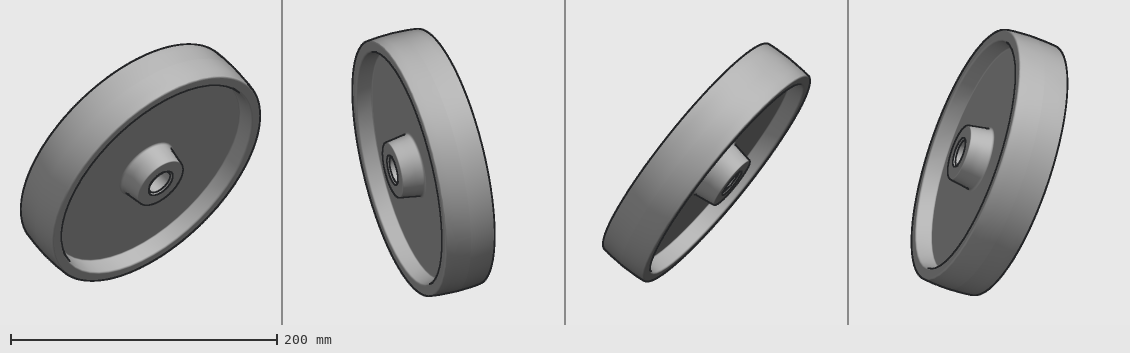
import cadquery as cq
import math

wheel_diameter = 200.0
rim_width = 40.0
hub_length = 50.0
web_thickness = 15.0

crown_drop = 1.35
tread_edge_radius = 1.5
rim_inner_diameter = 179.8
rim_draft_angle = 7.0
rim_mouth_radius = 1.5
rim_web_fillet = 1.0

hub_end_diameter = 42.8
hub_draft_angle = 9.0
hub_edge_radius = 0.8
hub_web_fillet = 1.8

bore_diameter = 20.0
bore_chamfer = 1.5

pick_margin = 0.01

wheel_radius = wheel_diameter / 2
half_rim = rim_width / 2
half_hub = hub_length / 2
half_web = web_thickness / 2
tread_edge = wheel_radius - crown_drop
crown_radius = (half_rim**2 + crown_drop**2) / (2 * crown_drop)
crown_mid_x = half_rim / 2
crown_mid_drop = crown_radius - math.sqrt(crown_radius**2 - crown_mid_x**2)
crown_mid_point = (crown_mid_x, wheel_radius - crown_mid_drop)
rim_slope = math.tan(math.radians(rim_draft_angle))
hub_slope = math.tan(math.radians(hub_draft_angle))
rim_mouth = rim_inner_diameter / 2
rim_foot = rim_mouth - (half_rim - half_web) * rim_slope
hub_end = hub_end_diameter / 2
hub_foot = hub_end + (half_hub - half_web) * hub_slope


def make_wheel_half():
    """Right half of the wheel body, from the middle plane to the hub end."""
    profile = (
        cq.Workplane("XY")
        .moveTo(0, 0)
        .lineTo(0, wheel_radius)
        .threePointArc(crown_mid_point, (half_rim, tread_edge))
        .lineTo(half_rim, rim_mouth)
        .lineTo(half_web, rim_foot)
        .lineTo(half_web, hub_foot)
        .lineTo(half_hub, hub_end)
        .lineTo(half_hub, 0)
        .close()
    )
    return profile.revolve(360, (0, 0, 0), (1, 0, 0))


def select_circle(solid, x, radius):
    """Pick the circular edge of the given radius lying in the plane at x."""
    return solid.edges("%CIRCLE").filter(
        lambda edge: abs(edge.Center().x - x) < pick_margin
        and abs(edge.radius() - radius) < pick_margin
    )


def round_half(half):
    """Round every circular corner of the half wheel."""
    corners = (
        (half_rim, tread_edge, tread_edge_radius),
        (half_rim, rim_mouth, rim_mouth_radius),
        (half_web, rim_foot, rim_web_fillet),
        (half_web, hub_foot, hub_web_fillet),
        (half_hub, hub_end, hub_edge_radius),
    )
    for x, radius, fillet_radius in corners:
        half = select_circle(half, x, radius).fillet(fillet_radius)
    return half


def make_bore():
    """Through bore with a chamfer at each end."""
    bore_radius = bore_diameter / 2
    mouth_radius = bore_radius + bore_chamfer
    profile = (
        cq.Workplane("XY")
        .moveTo(-half_hub, 0)
        .lineTo(-half_hub, mouth_radius)
        .lineTo(-half_hub + bore_chamfer, bore_radius)
        .lineTo(half_hub - bore_chamfer, bore_radius)
        .lineTo(half_hub, mouth_radius)
        .lineTo(half_hub, 0)
        .close()
    )
    return profile.revolve(360, (0, 0, 0), (1, 0, 0))


right_half = round_half(make_wheel_half())
left_half = right_half.mirror("YZ")
result = right_half.union(left_half).cut(make_bore())